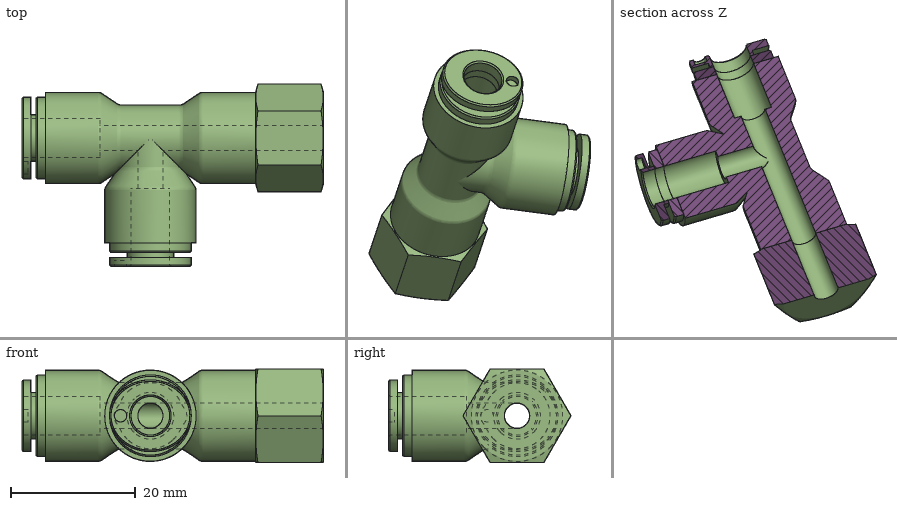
import cadquery as cq
import math

neck_diameter = 10.6
neck_end = 5.05
shoulder_start = 8.1
shoulder_fillet = 1.0
socket_diameter = 14.7
socket_end = 16.85

flow_bore = 4.0
tube_bore = 6.2
tube_stop = shoulder_start

collar_diameter = 13.15
collar_end = 18.4

stem_diameter = 7.5
flange_back = 19.2
flange_face = 20.65
flange_width = collar_diameter
flange_height = 11.55
dimple_diameter = 2.0
dimple_offset = 4.8
dimple_depth = 0.95
edge_chamfer = 0.25

overall_length = 48.45
nut_flats = 15.0
nut_face_diameter = 14.55
nut_chamfer_angle = 16.0
nut_end = overall_length - flange_face


def rod_along_port(diameter, start, end):
    """Cylinder on the -X axis between two stations."""
    return cq.Workplane("YZ", origin=(-end, 0, 0)).circle(diameter / 2).extrude(end - start)


def turn_about_z(shape, angle):
    return shape.rotate((0, 0, 0), (0, 0, 1), angle)


def make_arm():
    """One solid arm on -X: neck, rounded conical shoulder and socket."""
    neck_radius = neck_diameter / 2
    socket_radius = socket_diameter / 2
    outline = [
        (0, 0),
        (0, neck_radius),
        (-neck_end, neck_radius),
        (-shoulder_start, socket_radius),
        (-socket_end, socket_radius),
        (-socket_end, 0),
    ]
    arm = cq.Workplane("XY").polyline(outline).close().revolve(360, (0, 0, 0), (1, 0, 0))
    for station in (neck_end, shoulder_start):
        rim = cq.selectors.NearestToPointSelector((-station, 0, 0))
        arm = arm.edges(rim).fillet(shoulder_fillet)
    return arm


def make_body():
    """Tee housing: run port on -X, branch port on -Y, nut end on +X."""
    arm = make_arm()
    flow_passage = rod_along_port(flow_bore, 0, socket_end)
    tube_socket = rod_along_port(tube_bore, tube_stop, socket_end)

    body = arm.union(turn_about_z(arm, 90)).union(turn_about_z(arm, 180))
    for angle in (0, 90, 180):
        body = body.cut(turn_about_z(flow_passage, angle))
    for angle in (0, 90):
        body = body.cut(turn_about_z(tube_socket, angle))
    return body


def make_collar():
    """Collar closing the mouth of the run socket."""
    collar = rod_along_port(collar_diameter, socket_end, collar_end)
    collar = collar.faces("<X").chamfer(edge_chamfer)
    return collar.cut(rod_along_port(tube_bore, socket_end, collar_end))


def make_release_ring():
    """Release ring of the run port: oval flange, round stem and a blind dimple towards -Y."""
    flange = (
        cq.Workplane("YZ", origin=(-flange_face, 0, 0))
        .ellipse(flange_width / 2, flange_height / 2)
        .extrude(flange_face - flange_back)
        .faces("<X")
        .chamfer(edge_chamfer)
    )
    ring = flange.union(rod_along_port(stem_diameter, collar_end, flange_back))
    ring = ring.cut(rod_along_port(tube_bore, collar_end, flange_face))
    ring = ring.faces("<X").edges("%CIRCLE").chamfer(edge_chamfer)
    dimple = rod_along_port(dimple_diameter, flange_face - dimple_depth, flange_face)
    return ring.cut(dimple.translate((0, -dimple_offset, 0)))


def make_nut():
    """Hexagonal nut with corners on Y and both ends chamfered by a cone."""
    corner_radius = nut_flats / 2 / math.cos(math.radians(30))
    face_radius = nut_face_diameter / 2
    corner_setback = (corner_radius - face_radius) * math.tan(math.radians(nut_chamfer_angle))
    hexagon = (
        cq.Workplane("YZ", origin=(socket_end, 0, 0))
        .polygon(6, 2 * corner_radius)
        .extrude(nut_end - socket_end)
    )
    envelope_outline = [
        (socket_end, 0),
        (socket_end, face_radius),
        (socket_end + corner_setback, corner_radius),
        (nut_end - corner_setback, corner_radius),
        (nut_end, face_radius),
        (nut_end, 0),
    ]
    envelope = cq.Workplane("XY").polyline(envelope_outline).close().revolve(360, (0, 0, 0), (1, 0, 0))
    flow_passage = turn_about_z(rod_along_port(flow_bore, socket_end, nut_end), 180)
    return hexagon.intersect(envelope).cut(flow_passage)


def place_on_ports(part):
    """Copies of a run-port part on both ports; the branch copy is turned half way round its axis."""
    branch_copy = part.rotate((0, 0, 0), (1, 0, 0), 180)
    return [part.val(), turn_about_z(branch_copy, 90).val()]


body = make_body()
nut = make_nut()
collars = place_on_ports(make_collar())
release_rings = place_on_ports(make_release_ring())

result = cq.Compound.makeCompound([body.val(), nut.val(), *collars, *release_rings])